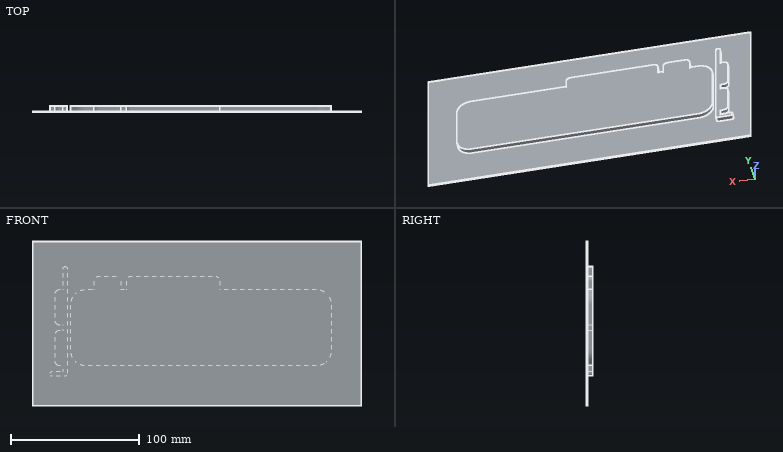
import cadquery as cq

plate_length = 256.0
plate_height = 128.0
plate_thickness = 1.0
total_depth = 5.0
relief_depth = total_depth - plate_thickness

bracket_left = -104.7
bracket_top = 44.5
bracket_bottom = -40.7
bracket_width = 3.5
bracket_right = bracket_left + bracket_width
foot_left = -114.7

port_left = -110.8
port_height = 27.5
port_gap = 4.4
port_stack_top = 26.5
port_count = 2
port_pitch = port_height + port_gap
port_stack_bottom = port_stack_top - (port_count - 1) * port_pitch - port_height

small_radius = 3.5

body_left = -98.5
body_right = 104.5
body_radius = 11.5

connector_rise = 10.2
connector_bottom = port_stack_top - connector_rise
connector_top = port_stack_top + connector_rise
connector_left = -80.5
connector_right = 17.7
notch_left = -59.5
notch_width = 4.0
notch_right = notch_left + notch_width


def raised_block(left, right, bottom, top):
    """Block standing on the +Y face of the plate."""
    return cq.Workplane("XY").box(
        right - left, relief_depth, top - bottom, centered=False
    ).translate((left, plate_thickness, bottom))


def rounded_bar(left, right, bottom, top):
    """Upright or level bracket bar with fully round ends."""
    width = right - left
    height = top - bottom
    length = max(width, height)
    angle = 90 if height > width else 0
    return (
        cq.Workplane("XZ", origin=((left + right) / 2, plate_thickness, (bottom + top) / 2))
        .slot2D(length, bracket_width, angle)
        .extrude(-relief_depth)
    )


def make_plate():
    return cq.Workplane("XY").box(
        plate_length, plate_thickness, plate_height, centered=(True, False, True)
    )


def make_bracket():
    upright = rounded_bar(bracket_left, bracket_right, bracket_bottom, bracket_top)
    foot = rounded_bar(foot_left, bracket_right, bracket_bottom, bracket_bottom + bracket_width)
    return upright.union(foot)


def make_port(top):
    """Port ending inside the bracket, with its two outer corners rounded."""
    port = raised_block(port_left, bracket_right, top - port_height, top)
    return port.edges("|Y and <X").fillet(small_radius)


def make_body():
    body = raised_block(body_left, body_right, port_stack_bottom, port_stack_top)
    return body.edges("|Y").fillet(body_radius)


def make_connector(left, right):
    """Connector tongue with its two top corners rounded."""
    tongue = raised_block(left, right, connector_bottom, connector_top)
    return tongue.edges("|Y and >Z").fillet(small_radius)


result = make_plate().union(make_bracket()).union(make_body())

for index in range(port_count):
    result = result.union(make_port(port_stack_top - index * port_pitch))

for left, right in ((connector_left, notch_left), (notch_right, connector_right)):
    result = result.union(make_connector(left, right))